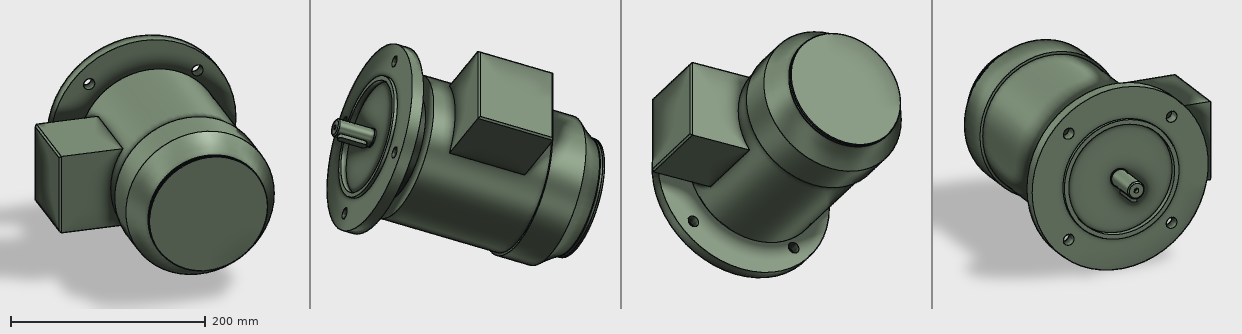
import cadquery as cq

pilot_face = 36.1
flange_front = 39.8
collar_start = 40.5
flange_back = 52.5
frame_front = 75.5
cowl_front = 210.2
cowl_shoulder = 248.5
cap_front = 272.2
cap_rim_start = 273.0
cap_rim_end = 275.8
motor_length = 278.0

shaft_diameter = 19.0
collar_diameter = 20.0
pilot_diameter = 130.0
recess_diameter = 120.0
flange_diameter = 200.0
neck_diameter = 115.5
frame_diameter = 154.0
cowl_diameter = 160.0
cap_diameter = 128.0

shaft_chamfer = 1.5
recess_depth = 6.0
cap_rim_height = 0.3
cowl_sag = 0.97
center_hole_diameter = 5.0
center_hole_depth = 5.5

bolt_hole_diameter = 12.0
bolt_circle_diameter = 165.0
bolt_count = 4

box_front = 100.0
box_side = 86.2
overall_width = 232.0
box_outer_y = flange_diameter / 2 - overall_width
box_chamfer = 2.0

key_start = 3.3
key_length = 32.8
key_width = 6.7
key_height = 6.7
key_bottom = -13.5


def make_turned_body():
    """Shaft, flange, frame and fan cowl revolved about the X axis."""
    shaft_radius = shaft_diameter / 2
    cowl_radius = cowl_diameter / 2
    cap_radius = cap_diameter / 2
    cowl_end_radius = cap_radius - cap_rim_height
    recess_floor = pilot_face + recess_depth
    cowl_middle = (
        (cowl_shoulder + cap_front) / 2,
        (cowl_radius + cowl_end_radius) / 2 - cowl_sag,
    )
    profile = (
        cq.Workplane("XY")
        .moveTo(0, 0)
        .lineTo(0, shaft_radius - shaft_chamfer)
        .lineTo(shaft_chamfer, shaft_radius)
        .lineTo(collar_start, shaft_radius)
        .lineTo(collar_start, collar_diameter / 2)
        .lineTo(recess_floor, collar_diameter / 2)
        .lineTo(recess_floor, recess_diameter / 2)
        .lineTo(pilot_face, recess_diameter / 2)
        .lineTo(pilot_face, pilot_diameter / 2)
        .lineTo(flange_front, pilot_diameter / 2)
        .lineTo(flange_front, flange_diameter / 2)
        .lineTo(flange_back, flange_diameter / 2)
        .lineTo(flange_back, neck_diameter / 2)
        .lineTo(frame_front, neck_diameter / 2)
        .lineTo(frame_front, frame_diameter / 2)
        .lineTo(cowl_front, frame_diameter / 2)
        .lineTo(cowl_front, cowl_radius)
        .lineTo(cowl_shoulder, cowl_radius)
        .threePointArc(cowl_middle, (cap_front, cowl_end_radius))
        .lineTo(cap_rim_start, cowl_end_radius)
        .lineTo(cap_rim_start, cap_radius)
        .lineTo(cap_rim_end, cap_radius)
        .lineTo(cap_rim_end, cowl_end_radius)
        .lineTo(motor_length, cowl_end_radius)
        .lineTo(motor_length, 0)
        .close()
    )
    return profile.revolve(360, (0, 0, 0), (1, 0, 0))


def make_terminal_box():
    """Square box from the motor axis outward, chamfered around its outer face."""
    return (
        cq.Workplane("XZ")
        .center(box_front + box_side / 2, 0)
        .rect(box_side, box_side)
        .extrude(-box_outer_y)
        .faces("<Y")
        .chamfer(box_chamfer)
    )


def make_bolt_holes():
    """Cutters for the flange holes, midway between the Y and Z axes."""
    return (
        cq.Workplane("YZ", origin=(flange_front, 0, 0))
        .polarArray(bolt_circle_diameter / 2, 180 / bolt_count, 360, bolt_count)
        .circle(bolt_hole_diameter / 2)
        .extrude(flange_back - flange_front)
    )


def make_center_hole():
    """Cutter for the blind hole in the shaft tip."""
    return cq.Workplane("YZ").circle(center_hole_diameter / 2).extrude(center_hole_depth)


def make_key():
    """Round-ended key lying along the shaft."""
    return (
        cq.Workplane("XY", origin=(key_start + key_length / 2, 0, key_bottom))
        .slot2D(key_length, key_width)
        .extrude(key_height)
    )


key = make_key()
motor = (
    make_turned_body()
    .union(make_terminal_box())
    .cut(make_bolt_holes())
    .cut(make_center_hole())
    .cut(key)
)

result = cq.Compound.makeCompound([motor.val(), key.val()])